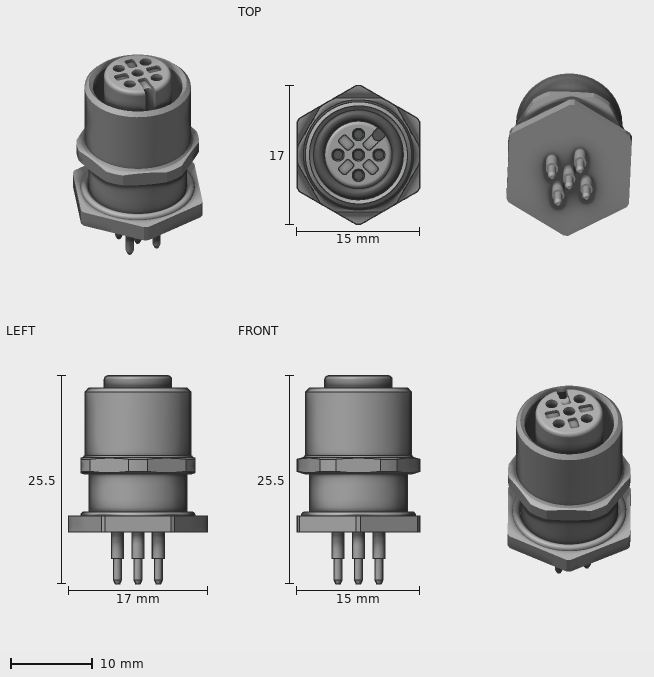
import cadquery as cq
import math

height = 25.5
flange_bottom = 6.38
flange_thickness = 2.0
flange_top = flange_bottom + flange_thickness
nut_bottom = 13.5
nut_thickness = 2.0
nut_top = nut_bottom + nut_thickness
collar_height = 0.25
collar_top = nut_top + collar_height
core_protrusion = 1.5
rim_height = height - core_protrusion

flange_across_flats = 15.0
flange_corner_diameter = 17.0

nut_across_flats = 13.97
nut_corner_diameter = 15.0
nut_top_diameter = 13.5
nut_bottom_diameter = 13.05
nut_top_cone_height = 0.2
nut_bottom_cone_height = 0.3

neck_diameter = 12.0
barrel_diameter = 13.0
socket_diameter = 11.0
rim_edge_diameter = (barrel_diameter + socket_diameter) / 2
rim_chamfer_height = 0.5
core_diameter = 8.25
core_fillet = 0.5
groove_floor = collar_top

flange_seal_radius = 0.48
flange_seal_path_radius = barrel_diameter / 2
socket_seal_radius = (socket_diameter - core_diameter) / 4
socket_seal_path_radius = (socket_diameter + core_diameter) / 4
socket_seal_height = groove_floor

contact_spacing = 2.5
contact_positions = [
    (0, 0),
    (contact_spacing, 0),
    (0, contact_spacing),
    (-contact_spacing, 0),
    (0, -contact_spacing),
]
pin_diameter = 1.0
pin_shank_diameter = 1.5
pin_shank_bottom = 3.14
pin_tip_diameter = 0.5
pin_tip_height = 0.54
contact_hole_diameter = 1.5
contact_hole_end_diameter = 1.15
contact_hole_depth = 3.05

slot_width = 1.2
slot_inner_end = 1.22
slot_length = 1.78
slot_depth = 0.5
slot_corner_radius = 0.3
slot_angles = [135, 225, 315]
keyway_angle = 45
keyway_width = 1.33
keyway_center_radius = 3.4
keyway_slot_length = keyway_center_radius - slot_inner_end
keyway_floor = socket_seal_height + socket_seal_radius


def cylinder(diameter, bottom, top):
    return cq.Workplane("XY").workplane(offset=bottom).circle(diameter / 2).extrude(top - bottom)


def hexagon(across_flats, bottom, top, turn):
    """Hexagonal prism with corners on +/-X, turned about Z by the given angle."""
    across_corners = across_flats / math.cos(math.radians(30))
    prism = cq.Workplane("XY").workplane(offset=bottom).polygon(6, across_corners).extrude(top - bottom)
    return prism.rotate((0, 0, 0), (0, 0, 1), turn)


def revolved(points):
    """Solid turned about Z from (radius, height) points."""
    return cq.Workplane("XZ").polyline(points).close().revolve(360, (0, 0, 0), (0, 1, 0))


def seal_ring(path_radius, section_radius, center_height):
    return cq.Workplane("XY").add(
        cq.Solid.makeTorus(path_radius, section_radius, cq.Vector(0, 0, center_height))
    )


def make_flange():
    prism = hexagon(flange_across_flats, flange_bottom, flange_top, 30)
    return prism.intersect(cylinder(flange_corner_diameter, flange_bottom, flange_top))


def make_nut():
    prism = hexagon(nut_across_flats, nut_bottom, nut_top, 0)
    turned_outline = revolved([
        (0, nut_bottom),
        (nut_bottom_diameter / 2, nut_bottom),
        (nut_corner_diameter / 2, nut_bottom + nut_bottom_cone_height),
        (nut_corner_diameter / 2, nut_top - nut_top_cone_height),
        (nut_top_diameter / 2, nut_top),
        (0, nut_top),
    ])
    return prism.intersect(turned_outline)


def make_housing():
    """Neck, collar and barrel, open at the top and with a sharp double-chamfered rim."""
    return revolved([
        (0, flange_top),
        (neck_diameter / 2, flange_top),
        (neck_diameter / 2, nut_top),
        (nut_top_diameter / 2, nut_top),
        (barrel_diameter / 2, collar_top),
        (barrel_diameter / 2, rim_height - rim_chamfer_height),
        (rim_edge_diameter / 2, rim_height),
        (socket_diameter / 2, rim_height - rim_chamfer_height),
        (socket_diameter / 2, groove_floor),
        (0, groove_floor),
    ])


def make_core():
    return cylinder(core_diameter, groove_floor, height).faces(">Z").edges().fillet(core_fillet)


def make_pin():
    return revolved([
        (0, 0),
        (pin_tip_diameter / 2, 0),
        (pin_diameter / 2, pin_tip_height),
        (pin_diameter / 2, pin_shank_bottom),
        (pin_shank_diameter / 2, pin_shank_bottom),
        (pin_shank_diameter / 2, flange_bottom),
        (0, flange_bottom),
    ])


def make_contact_hole():
    """Blind hole that narrows towards its flat bottom."""
    return revolved([
        (0, height),
        (contact_hole_diameter / 2, height),
        (contact_hole_end_diameter / 2, height - contact_hole_depth),
        (0, height - contact_hole_depth),
    ])


def make_slot(angle, length):
    slot = (
        cq.Workplane("XY")
        .workplane(offset=height - slot_depth)
        .center(slot_inner_end + length / 2, 0)
        .rect(length, slot_width)
        .extrude(slot_depth)
        .edges("|Z")
        .fillet(slot_corner_radius)
    )
    return slot.rotate((0, 0, 0), (0, 0, 1), angle)


def make_keyway():
    """Groove with a round inner end, open through the side of the core."""
    depth = height - keyway_floor
    opening_length = core_diameter / 2 - keyway_center_radius
    base = cq.Workplane("XY").workplane(offset=keyway_floor).center(keyway_center_radius, 0)
    round_end = base.circle(keyway_width / 2).extrude(depth)
    opening = base.center(opening_length / 2, 0).rect(opening_length, keyway_width).extrude(depth)
    return round_end.union(opening).rotate((0, 0, 0), (0, 0, 1), keyway_angle)


core = make_core()
for x, y in contact_positions:
    core = core.cut(make_contact_hole().translate((x, y, 0)))
for angle in slot_angles:
    core = core.cut(make_slot(angle, slot_length))
core = core.cut(make_slot(keyway_angle, keyway_slot_length))
core = core.cut(make_keyway())

result = make_flange().union(make_housing()).union(make_nut()).union(core)
result = result.union(seal_ring(flange_seal_path_radius, flange_seal_radius, flange_top))
result = result.union(seal_ring(socket_seal_path_radius, socket_seal_radius, socket_seal_height))
for x, y in contact_positions:
    result = result.union(make_pin().translate((x, y, 0)))